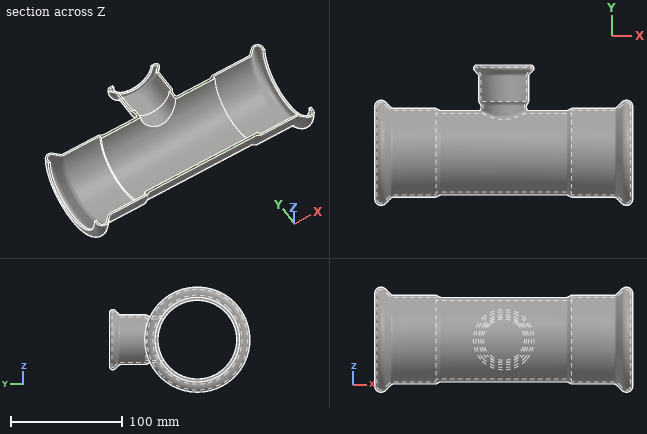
import cadquery as cq
import math

RUN_LENGTH = 232.0
RUN = {
    "length": RUN_LENGTH / 2,
    "wall": 2.0,
    "bore_radius": 35.3,
    "bead_radius": 47.3,
    "bead_round": 5.8,
    "mouth_radius": 38.0,
    "socket_radius": 80.0 / 2,
    "pipe_radius": 76.0 / 2,
    "socket_end": 55.2,
    "pipe_start": 59.0,
}

BRANCH_REACH = 78.9
BRANCH = {
    "length": BRANCH_REACH,
    "wall": 2.0,
    "bore_radius": 18.5,
    "bead_radius": 27.1,
    "bead_round": 3.0,
    "mouth_radius": 20.6,
    "socket_radius": 45.0 / 2,
    "pipe_radius": 41.3 / 2,
    "socket_end": 33.0,
    "pipe_start": 36.0,
}

BEND_RADIUS = 2.3
JUNCTION_RADIUS = 1.6
POSITION_TOLERANCE = 0.002
FLARE_ANGLE = math.radians(45)


def round_bend(solid, z, radius):
    """Fillet the circular edge at height z."""
    bend = [
        edge
        for edge in solid.edges("%CIRCLE").vals()
        if math.isclose(edge.Center().z, z, abs_tol=POSITION_TOLERANCE)
    ]
    return solid.newObject(bend).fillet(radius)


def socket_solid(size, pipe_radius, pipe_start, inset=0.0):
    """Revolved pipe end with its mouth at z = 0 and the pipe running to z = length.

    The bead and socket are moved inward by inset: 0 gives the outside, the wall thickness the cavity.
    The socket ends at socket_end and narrows to pipe_radius at pipe_start.
    """
    ring_radius = size["bead_radius"] - size["bead_round"]
    ring_z = size["bead_round"]
    bead_round = size["bead_round"] - inset
    socket_radius = size["socket_radius"] - inset

    tangent_radius = ring_radius + bead_round * math.cos(FLARE_ANGLE)
    tangent_z = ring_z + bead_round * math.sin(FLARE_ANGLE)
    flare_end = tangent_z + (tangent_radius - socket_radius) / math.tan(FLARE_ANGLE)

    solid = (
        cq.Workplane("XZ")
        .moveTo(0, inset)
        .lineTo(ring_radius, inset)
        .threePointArc((ring_radius + bead_round, ring_z), (tangent_radius, tangent_z))
        .lineTo(socket_radius, flare_end)
        .lineTo(socket_radius, size["socket_end"])
        .lineTo(pipe_radius, pipe_start)
        .lineTo(pipe_radius, size["length"])
        .lineTo(0, size["length"])
        .close()
        .revolve(360, (0, 0, 0), (0, 1, 0))
    )
    return round_bend(solid, flare_end, BEND_RADIUS + inset)


def pipe_outside(size):
    """Outside of one pipe end, with a rounded taper from the socket down to the pipe."""
    solid = socket_solid(size, size["pipe_radius"], size["pipe_start"])
    solid = round_bend(solid, size["socket_end"], BEND_RADIUS)
    return round_bend(solid, size["pipe_start"], BEND_RADIUS)


def pipe_cavity(size):
    """Space inside one pipe end: lip opening, bead groove, socket with a flat stop, and bore."""
    mouth = cq.Workplane("XY").circle(size["mouth_radius"]).extrude(size["bead_round"])
    cavity = socket_solid(size, size["bore_radius"], size["socket_end"], size["wall"])
    return cavity.union(mouth)


def place_run(end):
    """Lay an end along X with its mouth at -X, and mirror it to the +X side."""
    left = end.rotate((0, 0, 0), (0, 1, 0), 90).translate((-RUN_LENGTH / 2, 0, 0))
    return left.union(left.mirror("YZ"))


def place_branch(end):
    """Lay an end along Y with its mouth at +Y."""
    return end.rotate((0, 0, 0), (1, 0, 0), 90).translate((0, BRANCH_REACH, 0))


outside = place_run(pipe_outside(RUN)).union(place_branch(pipe_outside(BRANCH)))

junction = outside.edges("not(%CIRCLE or %LINE)")
outside = junction.fillet(JUNCTION_RADIUS)

result = outside.cut(place_run(pipe_cavity(RUN))).cut(place_branch(pipe_cavity(BRANCH)))